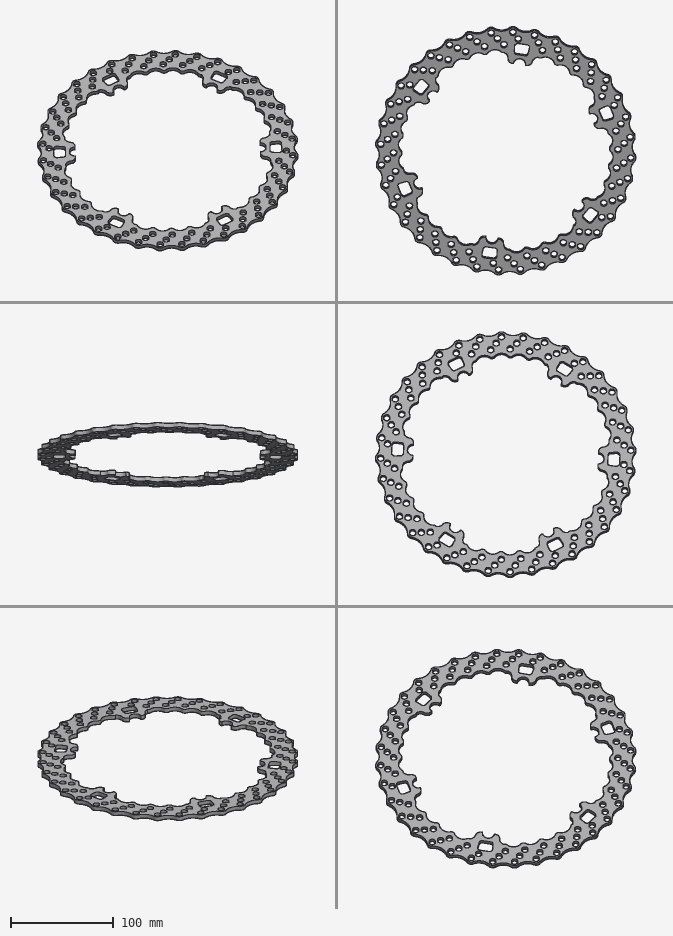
import cadquery as cq
import math

OUTER_SIZE = 253.3
THICKNESS = 4.3

LOBE_COUNT = 36
TAB_COUNT = 6
LOBE_PITCH = 360.0 / LOBE_COUNT
TAB_PITCH = 360.0 / TAB_COUNT
FIRST_TAB_ANGLE = TAB_PITCH / 2

HOLE_DIAMETER = 6.3
OUTER_HOLE_RADIUS, OUTER_HOLE_ANGLE = 122.0, 4.8
MIDDLE_HOLE_RADIUS, MIDDLE_HOLE_ANGLE = 115.8, 7.5
INNER_HOLE_RADIUS, INNER_HOLE_ANGLE = 109.5, 10.6

OUTER_LOBE_RADIUS = OUTER_SIZE / 2 - OUTER_HOLE_RADIUS * math.cos(math.radians(OUTER_HOLE_ANGLE))
OUTER_HOLLOW_REACH = 123.4

INNER_BUMP_RADIUS = 3.3
INNER_BUMP_TIP = 101.3
INNER_BUMP_ANGLE = 0.3
INNER_HOLLOW_REACH = 105.0

TAB_TIP = 90.2
TAB_TIP_FLAT_HALF = 6.8
TAB_WAIST_HALF = 12.0
TAB_WAIST_HEIGHT = 94.0
TAB_ROOT_HALF = 18.2
TAB_ROOT_HEIGHT = 100.3
TAB_ROOT_FILLET = 6.5
TAB_BURIED_HEIGHT = 106.5
NOTCH_RADIUS = 5.8
NOTCH_CENTRE = 90.2

WINDOW_BOTTOM = 99.8
WINDOW_TOP = 111.2
WINDOW_BOTTOM_HALF = 6.5
WINDOW_TOP_HALF = 7.5
WINDOW_BOTTOM_FILLET = 2.5
WINDOW_TOP_FILLET = 3.0


def polar(radius, angle):
    """Point at a radius and an angle in degrees, counter-clockwise from +X."""
    return (radius * math.cos(math.radians(angle)), radius * math.sin(math.radians(angle)))


def scalloped_disc(lobe_centre, lobe_radius, lobe_angle, hollow_reach, side):
    """Disc whose edge alternates lobe arcs and hollow arcs that meet tangentially.

    side is +1 when the lobes point away from the centre and -1 when they point towards it.
    """
    half_pitch = LOBE_PITCH / 2
    half_chord = lobe_centre * math.sin(math.radians(half_pitch))
    rise = hollow_reach - lobe_centre * math.cos(math.radians(half_pitch))
    hollow_radius = (half_chord**2 + rise**2 - lobe_radius**2) / (2 * (lobe_radius - side * rise))
    hollow_centre = hollow_reach + side * hollow_radius
    blend = lobe_radius / (lobe_radius + hollow_radius)

    def touch_point(lobe_at, hollow_at):
        lobe_x, lobe_y = polar(lobe_centre, lobe_at)
        hollow_x, hollow_y = polar(hollow_centre, hollow_at)
        return (lobe_x + blend * (hollow_x - lobe_x), lobe_y + blend * (hollow_y - lobe_y))

    edge = cq.Workplane("XY").moveTo(*touch_point(lobe_angle, lobe_angle - half_pitch))
    for index in range(LOBE_COUNT):
        lobe_at = lobe_angle + index * LOBE_PITCH
        hollow_at = lobe_at + half_pitch
        lobe_tip = polar(lobe_centre + side * lobe_radius, lobe_at)
        hollow_bottom = polar(hollow_reach, hollow_at)
        edge = edge.threePointArc(lobe_tip, touch_point(lobe_at, hollow_at))
        edge = edge.threePointArc(hollow_bottom, touch_point(lobe_at + LOBE_PITCH, hollow_at))
    return edge.close().extrude(THICKNESS / 2, both=True)


def half_tab():
    """Half of a tab on the +X axis, on its +Y side, with its root buried in the ring."""
    return (
        cq.Workplane("XY")
        .moveTo(TAB_TIP, 0)
        .lineTo(TAB_TIP, TAB_TIP_FLAT_HALF)
        .tangentArcPoint((TAB_WAIST_HEIGHT, TAB_WAIST_HALF), relative=False)
        .radiusArc((TAB_ROOT_HEIGHT, TAB_ROOT_HALF), -TAB_ROOT_FILLET)
        .lineTo(TAB_BURIED_HEIGHT, TAB_ROOT_HALF)
        .lineTo(TAB_BURIED_HEIGHT, 0)
        .close()
        .extrude(THICKNESS / 2, both=True)
    )


def tab_cutter():
    """Round notch in the tab tip and tapered window above it, on the +X axis."""
    notch = (
        cq.Workplane("XY")
        .center(NOTCH_CENTRE, 0)
        .circle(NOTCH_RADIUS)
        .extrude(THICKNESS, both=True)
    )
    window = (
        cq.Workplane("XY")
        .moveTo(WINDOW_BOTTOM, -WINDOW_BOTTOM_HALF)
        .lineTo(WINDOW_TOP, -WINDOW_TOP_HALF)
        .lineTo(WINDOW_TOP, WINDOW_TOP_HALF)
        .lineTo(WINDOW_BOTTOM, WINDOW_BOTTOM_HALF)
        .close()
        .extrude(THICKNESS, both=True)
        .edges("|Z and <X")
        .fillet(WINDOW_BOTTOM_FILLET)
        .edges("|Z and >X")
        .fillet(WINDOW_TOP_FILLET)
    )
    return notch.union(window)


def hole_centres():
    """Centres of all drilled holes; the inner hole is left out where a window takes its place."""
    centres = []
    lobes_per_tab = LOBE_COUNT // TAB_COUNT
    window_row = round((FIRST_TAB_ANGLE - INNER_HOLE_ANGLE) / LOBE_PITCH)
    for row in range(LOBE_COUNT):
        turn = row * LOBE_PITCH
        centres.append(polar(OUTER_HOLE_RADIUS, OUTER_HOLE_ANGLE + turn))
        centres.append(polar(MIDDLE_HOLE_RADIUS, MIDDLE_HOLE_ANGLE + turn))
        if row % lobes_per_tab != window_row:
            centres.append(polar(INNER_HOLE_RADIUS, INNER_HOLE_ANGLE + turn))
    return centres


outer_disc = scalloped_disc(
    OUTER_HOLE_RADIUS, OUTER_LOBE_RADIUS, OUTER_HOLE_ANGLE, OUTER_HOLLOW_REACH, side=1
)
inner_opening = scalloped_disc(
    INNER_BUMP_TIP + INNER_BUMP_RADIUS, INNER_BUMP_RADIUS, INNER_BUMP_ANGLE, INNER_HOLLOW_REACH, side=-1
)
result = outer_disc.cut(inner_opening)

tab_blank = half_tab().union(half_tab().mirror("XZ"))
tab_cut = tab_cutter()
for tab_index in range(TAB_COUNT):
    tab_angle = FIRST_TAB_ANGLE + tab_index * TAB_PITCH
    result = result.union(tab_blank.rotate((0, 0, 0), (0, 0, 1), tab_angle))
    result = result.cut(tab_cut.rotate((0, 0, 0), (0, 0, 1), tab_angle))

drills = (
    cq.Workplane("XY")
    .pushPoints(hole_centres())
    .circle(HOLE_DIAMETER / 2)
    .extrude(THICKNESS, both=True)
)
result = result.cut(drills)